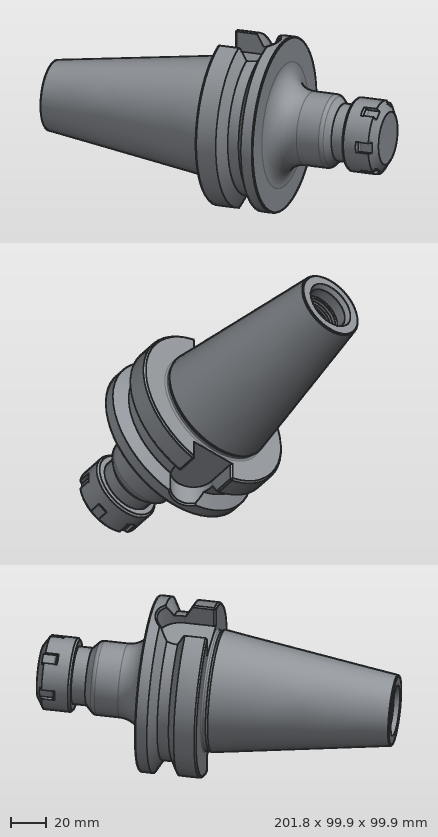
import cadquery as cq
import math

taper_ratio = 7 / 24
taper_end_chamfer = 0.6
taper_length = 100.7
taper_large_radius = 34.7
taper_end_radius = taper_large_radius - taper_length * taper_ratio / 2

relief_radius = 34.1
relief_slope_end = 102.1
relief_fillet = 1.0

bore_mouth_radius = 14.3
pilot_radius = 12.7
pilot_start = 3.0
pilot_end = 9.7
step_radius = 11.7
step_end = 12.5
thread_radius = 10.3
bore_end = 15.0
bore_step_chamfer = 0.6
drill_tip_angle = 118

flange_front = 104.7
flange_back = 139.6
front_rim_radius = 49.6
back_rim_radius = 49.95
back_rim_chamfer = 0.6
groove_radius = 42.2
groove_floor_start = 121.7
groove_floor_end = 128.1
groove_wall_slope = math.tan(math.radians(30))
groove_mouth_start = groove_floor_start - (front_rim_radius - groove_radius) * groove_wall_slope
groove_mouth_end = groove_floor_end + (back_rim_radius - groove_radius) * groove_wall_slope

key_slot_width = 26.2
key_slot_end = 135.6
key_slot_floor = 35.3
flange_edge_chamfer = 1.0

nose_radius = 21.0
nose_fillet = 15.0
nose_shoulder = 169.3
shoulder_round = 3.5
neck_radius = 16.3

nut_back = 181.8
nut_front = 201.8
nut_radius = nose_radius
nut_back_chamfer = 1.2
nut_bevel_start = 198.0
nut_front_radius = 15.0
wrench_slot_count = 6
wrench_slot_width = 6.3
wrench_slot_start = 190.3
wrench_slot_depth = 2.5
wrench_slot_fillet = 1.2


def revolve_about_x(profile):
    """Turn a closed XY profile about the X axis."""
    return profile.close().revolve(360, (0, 0, 0), (1, 0, 0))


def make_turned_holder():
    fillet_center_x = flange_back + nose_fillet
    fillet_center_r = nose_radius + nose_fillet
    diagonal = nose_fillet * math.sqrt(0.5)

    tangent_length = shoulder_round * math.tan(math.radians(22.5))
    round_start = nose_shoulder - tangent_length
    round_end_step = tangent_length * math.sqrt(0.5)
    round_mid_angle = math.radians(22.5)
    round_mid = (
        round_start + shoulder_round * math.sin(round_mid_angle),
        nose_radius - shoulder_round * (1 - math.cos(round_mid_angle)),
    )
    round_end = (nose_shoulder + round_end_step, nose_radius - round_end_step)

    relief_mid = relief_fillet * math.sqrt(0.5)
    profile = (
        cq.Workplane("XY")
        .moveTo(0, 0)
        .lineTo(0, taper_end_radius - taper_end_chamfer)
        .lineTo(taper_end_chamfer, taper_end_radius + taper_end_chamfer * taper_ratio / 2)
        .lineTo(taper_length, taper_large_radius)
        .lineTo(relief_slope_end, relief_radius)
        .lineTo(flange_front - relief_fillet, relief_radius)
        .threePointArc(
            (flange_front - relief_fillet + relief_mid, relief_radius + relief_fillet - relief_mid),
            (flange_front, relief_radius + relief_fillet),
        )
        .lineTo(flange_front, front_rim_radius)
        .lineTo(groove_mouth_start, front_rim_radius)
        .lineTo(groove_floor_start, groove_radius)
        .lineTo(groove_floor_end, groove_radius)
        .lineTo(groove_mouth_end, back_rim_radius)
        .lineTo(flange_back - back_rim_chamfer, back_rim_radius)
        .lineTo(flange_back, back_rim_radius - back_rim_chamfer)
        .lineTo(flange_back, fillet_center_r)
        .threePointArc(
            (fillet_center_x - diagonal, fillet_center_r - diagonal),
            (fillet_center_x, nose_radius),
        )
        .lineTo(round_start, nose_radius)
        .threePointArc(round_mid, round_end)
        .lineTo(nose_shoulder + nose_radius - neck_radius, neck_radius)
        .lineTo(nut_back, neck_radius)
        .lineTo(nut_back, 0)
    )
    return revolve_about_x(profile)


def make_bore():
    tip_length = thread_radius / math.tan(math.radians(drill_tip_angle / 2))
    profile = (
        cq.Workplane("XY")
        .moveTo(0, 0)
        .lineTo(0, bore_mouth_radius)
        .lineTo(pilot_start, pilot_radius)
        .lineTo(pilot_end, pilot_radius)
        .lineTo(pilot_end + bore_step_chamfer, step_radius)
        .lineTo(step_end, step_radius)
        .lineTo(step_end + bore_step_chamfer, thread_radius)
        .lineTo(bore_end, thread_radius)
        .lineTo(bore_end + tip_length, 0)
    )
    return revolve_about_x(profile)


def make_key_slot(side):
    """Round-ended slot cut from the +Z (side = 1) or -Z (side = -1) flank."""
    half_width = key_slot_width / 2
    arc_center = key_slot_end - half_width
    return (
        cq.Workplane("XY")
        .workplane(offset=side * key_slot_floor)
        .moveTo(flange_front, -half_width)
        .lineTo(arc_center, -half_width)
        .threePointArc((key_slot_end, 0), (arc_center, half_width))
        .lineTo(flange_front, half_width)
        .close()
        .extrude(side * back_rim_radius)
    )


def centered_in_box(x_range, y_range, z_range):
    """Selector for the edges whose center lies inside the given ranges."""
    corners = zip(x_range, y_range, z_range)
    return cq.selectors.BoxSelector(*corners)


def chamfer_flange_edges(holder):
    """Break the front rim and the mouths of both key slots, all in one chamfer."""
    margin = 0.2
    half_width = key_slot_width / 2
    slot_span = (-half_width - margin, half_width + margin)
    above_floor = (key_slot_floor + margin, back_rim_radius + margin)
    front_face = (flange_front - margin, flange_front + margin)
    front_rim = (flange_front - margin, groove_mouth_start)
    back_rim = (groove_mouth_end + margin, flange_back - back_rim_chamfer - margin)
    rim_arc_center = (front_rim_radius / 2, front_rim_radius)

    edges = []
    for side in (1, -1):
        flank = tuple(side * z for z in above_floor)
        arc_side = tuple(side * y for y in rim_arc_center)
        edges += holder.edges(centered_in_box(front_face, arc_side, (-margin, margin))).vals()
        edges += holder.edges(centered_in_box(front_rim, slot_span, flank)).vals()
        edges += holder.edges(centered_in_box(back_rim, slot_span, flank)).vals()
    return holder.newObject(edges).chamfer(flange_edge_chamfer)


def make_holder():
    holder = make_turned_holder().cut(make_bore())
    for side in (1, -1):
        holder = holder.cut(make_key_slot(side))
    return chamfer_flange_edges(holder)


def make_wrench_slot(angle):
    slot_floor = nut_radius - wrench_slot_depth
    entry_depth = wrench_slot_depth - wrench_slot_fillet
    wall_x = wrench_slot_start + entry_depth
    arc_offset = wrench_slot_fillet * (1 - math.sqrt(0.5))
    cutter = (
        cq.Workplane("XY")
        .moveTo(wrench_slot_start, nut_radius)
        .lineTo(wall_x, nut_radius - entry_depth)
        .threePointArc(
            (wall_x + arc_offset, slot_floor + arc_offset),
            (wall_x + wrench_slot_fillet, slot_floor),
        )
        .lineTo(nut_front, slot_floor)
        .lineTo(nut_front, nut_radius)
        .close()
        .extrude(wrench_slot_width / 2, both=True)
    )
    return cutter.rotate((0, 0, 0), (1, 0, 0), angle)


def make_nut():
    nut = revolve_about_x(
        cq.Workplane("XY")
        .moveTo(nut_back, 0)
        .lineTo(nut_back, nut_radius - nut_back_chamfer)
        .lineTo(nut_back + nut_back_chamfer, nut_radius)
        .lineTo(nut_bevel_start, nut_radius)
        .lineTo(nut_front, nut_front_radius)
        .lineTo(nut_front, 0)
    )
    for index in range(wrench_slot_count):
        nut = nut.cut(make_wrench_slot(index * 360 / wrench_slot_count))
    return nut


holder = make_holder()
nut = make_nut()
result = cq.Compound.makeCompound([holder.solids().val(), nut.solids().val()])